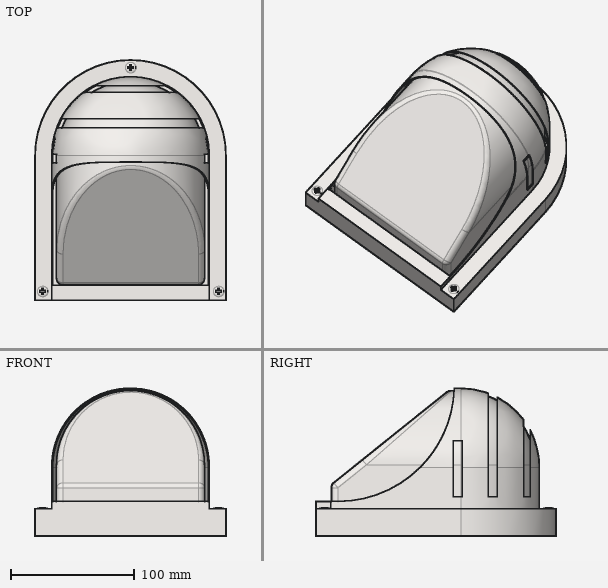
import cadquery as cq
import math

base_length = 195.0
base_width = 155.0
base_radius = base_width / 2
base_front = base_radius - base_length
base_height = 22.2

overall_height = 120.0
shell_radius = 64.0
shell_thickness = 0.8
shell_spring = overall_height - shell_radius
shell_inner_radius = shell_radius - shell_thickness

sill_height = 28.0
sill_depth = 12.0
sill_back = base_front + sill_depth
floor_thickness = 2.0

opening_radius = 94.2
opening_axis_y = -99.5
opening_axis_z = sill_height + opening_radius

body_radius = 60.0
body_spring = shell_spring + floor_thickness
body_top = body_spring + body_radius
body_front = -105.0
nose_height = 41.7
slope_start = -9.8
body_fillet = 5.0

slot_bottom = 31.8
slot_width = 7.2
side_slot_back = 1.2
side_slot_top = 77.2
middle_slot_back = 29.6
rear_slot_back = 56.4
rear_slot_width = 5.3

screw_offset = 71.4
screw_front = -110.2
screw_radius = 4.3
screw_height = 0.8
recess_length = 4.7
recess_width = 1.4
recess_depth = 1.8


def rounded_plan(radius, front, bottom, top):
    """Upright block with straight sides and a half-round back."""
    return (
        cq.Workplane("XY", origin=(0, 0, bottom))
        .moveTo(-radius, front)
        .lineTo(-radius, 0)
        .threePointArc((0, radius), (radius, 0))
        .lineTo(radius, front)
        .close()
        .extrude(top - bottom)
    )


def domed_block(radius, spring, front, bottom):
    """Half-round block with a ball-shaped back and an arched front part."""
    walls = rounded_plan(radius, front, bottom, spring)
    ball = cq.Workplane("XY", origin=(0, 0, spring)).sphere(radius)
    barrel = cq.Workplane("XZ", origin=(0, 0, spring)).circle(radius).extrude(-front)
    roof = ball.union(barrel)
    above_spring = (
        cq.Workplane("XY", origin=(0, 0, spring))
        .rect(2 * base_length, 2 * base_length)
        .extrude(2 * radius)
    )
    return walls.union(roof.intersect(above_spring))


def make_base_and_shell():
    """Base with the shell and sill raised on it, hollow above the floor."""
    base = rounded_plan(base_radius, base_front, 0, base_height)
    shell = domed_block(shell_radius, shell_spring, base_front, 0)
    well = domed_block(shell_inner_radius, shell_spring, sill_back, floor_thickness)
    return base.union(shell).cut(well).cut(make_opening())


def make_opening():
    """Region in front of the concave edge and above the sill."""
    opening_back = opening_axis_y + opening_radius
    clear_front = base_front - sill_depth
    clear_top = overall_height + opening_radius
    arc_middle = (
        opening_axis_y + opening_radius * math.cos(math.pi / 4),
        opening_axis_z - opening_radius * math.sin(math.pi / 4),
    )
    return (
        cq.Workplane("YZ")
        .moveTo(clear_front, sill_height)
        .lineTo(opening_axis_y, sill_height)
        .threePointArc(arc_middle, (opening_back, opening_axis_z))
        .lineTo(opening_back, clear_top)
        .lineTo(clear_front, clear_top)
        .close()
        .extrude(base_width, both=True)
    )


def make_slot(back, width, top):
    """Crosswise cutter for one slot through both sides of the shell."""
    return (
        cq.Workplane("XY", origin=(0, back - width / 2, slot_bottom))
        .rect(base_width, width)
        .extrude(top - slot_bottom)
    )


def make_body():
    """Domed body with a sloping, round-edged window face at the front."""
    block = domed_block(body_radius, body_spring, body_front, 0)
    slope = (body_top - nose_height) / (slope_start - body_front)
    overshoot = body_fillet
    cutter_front = body_front - overshoot
    cutter_top = body_top + overshoot * slope
    above_slope = (
        cq.Workplane("YZ")
        .moveTo(cutter_front, nose_height - overshoot * slope)
        .lineTo(slope_start + overshoot, cutter_top)
        .lineTo(cutter_front, cutter_top)
        .close()
        .extrude(base_width, both=True)
    )
    body = block.cut(above_slope)
    slope_normal = cq.Vector(0, -slope, 1)
    slope_edges = body.faces(cq.selectors.ParallelDirSelector(slope_normal)).edges()
    front_corners = body.faces("<Y").edges("|Z")
    return slope_edges.add(front_corners).fillet(body_fillet)


def make_screw_blank(x, y):
    """Domed screw head resting on the base."""
    ball_radius = (screw_radius**2 + screw_height**2) / (2 * screw_height)
    ball_center = base_height + screw_height - ball_radius
    ball = cq.Workplane("XY", origin=(x, y, ball_center)).sphere(ball_radius)
    above_base = (
        cq.Workplane("XY", origin=(x, y, base_height))
        .circle(2 * screw_radius)
        .extrude(2 * screw_height)
    )
    return ball.intersect(above_base)


def make_screw_recess(x, y):
    """Cutter for the cross recess in a screw head."""
    top = cq.Workplane("XY", origin=(x, y, base_height + screw_height))
    arm_along_x = top.rect(recess_length, recess_width).extrude(-recess_depth)
    arm_along_y = top.rect(recess_width, recess_length).extrude(-recess_depth)
    return arm_along_x.union(arm_along_y)


result = make_base_and_shell()

for slot_back, width, slot_top in [
    (side_slot_back, slot_width, side_slot_top),
    (middle_slot_back, slot_width, overall_height),
    (rear_slot_back, rear_slot_width, overall_height),
]:
    result = result.cut(make_slot(slot_back, width, slot_top))

result = result.union(make_body())

for screw_x, screw_y in [
    (0, screw_offset),
    (-screw_offset, screw_front),
    (screw_offset, screw_front),
]:
    result = result.union(make_screw_blank(screw_x, screw_y))
    result = result.cut(make_screw_recess(screw_x, screw_y))